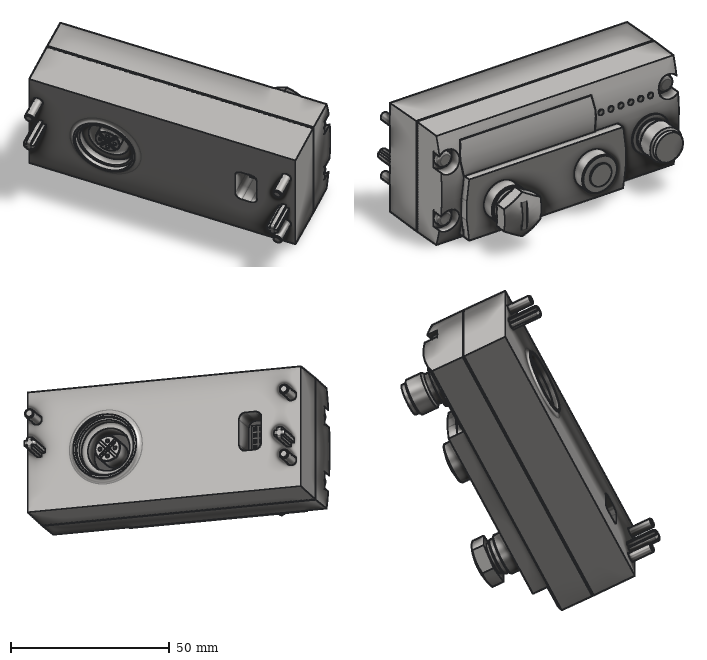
import cadquery as cq
import math


length = 91.0
height = 40.04
draft_angle = 1.0
base_depth = 14.6
joint_gap = 0.5
joint_inset = 0.4
cover_front = base_depth + joint_gap
crown_edge = 25.9
crown_apex = 29.0

screw_x = 42.4
screw_places = [(-screw_x, 10.4), (screw_x, 10.4), (screw_x, -11.0)]
screw_diameter = 3.0
screw_hole_diameter = 3.3
screw_tip = -7.8
screw_tip_chamfer = 0.35
screw_seat = 24.1
screw_head_diameter = 5.6
screw_head_height = 2.3
screw_head_round = 0.9
screw_pocket_diameter = 8.3

key_pins = [(-41.6, 0.0, -1), (41.6, -4.5, 1)]
key_radius = 2.0
key_short_arm = 1.75
key_arm_width = 1.5
key_tip = -10.12
key_tip_round = 1.0
key_root = 1.0

socket_x = -19.5
socket_z = -0.65
lip_front = -1.0
lip_radius = 10.5
lip_blend = 1.65
lip_blend_height = 0.8
lip_bore_radius = 9.8
lip_bore_floor = 0.7
socket_bore_radius = 9.05
socket_bore_floor = 3.2
well_radius = 7.0
well_floor = 10.0
core_radius = 4.15
core_face = 1.85
core_chamfer = 0.15
contact_diameter = 1.1
contact_depth = 4.0
contact_offset = 2.5
core_groove_width = 0.9
core_groove_depth = 0.5

header_x = 28.6
pocket_width = 7.4
pocket_height = 12.6
pocket_corner = 2.2
pocket_floor = 10.0
header_width = 4.1
header_height = 8.3
header_face = 8.0
header_pitch = 2.0
header_columns = 2
header_rows = 4
header_hole = 1.0
header_hole_depth = 1.5

plate_left = -23.0
plate_right = 37.9
plate_top = 4.05
plate_bottom = -18.2
plate_bow = 0.9
plate_end_flat = 7.0
plate_back = 31.85
plate_skirt = 28.8
plate_z = (plate_top + plate_bottom) / 2

label_left = -13.9
label_right = 38.0
label_top = 16.3
label_thickness = 0.35
label_bow = 0.8
label_end_flat = 2.0

stud_count = 6
stud_first_x = -35.0
stud_pitch = 3.8
stud_z = 9.7
stud_diameter = 2.0
stud_face = 28.5

port_diameter = 13.5
port_face = 36.55
port_chamfer = 0.35
open_port_x = -10.0
insert_diameter = 8.0
insert_face = 37.15
capped_port_x = 24.65
threaded_port_x = -34.4
threaded_port_z = -3.7

draft_slope = math.tan(math.radians(draft_angle))
crown_half = height / 2 - (crown_edge - cover_front) * draft_slope
crown_rise = crown_apex - crown_edge
crown_radius = (crown_half**2 + crown_rise**2) / (2 * crown_rise)
crown_centre_y = crown_apex - crown_radius


def rod(x, z, diameter, y_start, y_end):
    """Round bar along Y."""
    start = cq.Vector(x, y_start, z)
    bar = cq.Solid.makeCylinder(diameter / 2, y_end - y_start, start, cq.Vector(0, 1, 0))
    return cq.Workplane(obj=bar)


def turned(x, z, profile):
    """Body of revolution about a Y axis; the profile lists (radius, y) points."""
    outline = cq.Workplane("XY").polyline(profile).close()
    return outline.revolve(360, (0, 0), (0, 1)).translate((x, 0, z))


def block(x_range, y_range, z_range):
    """Box between the given limits."""
    size = [high - low for low, high in (x_range, y_range, z_range)]
    corner = (x_range[0], y_range[0], z_range[0])
    return cq.Workplane("XY").box(*size, centered=False).translate(corner)


def bowed_slab(x_range, z_range, bow, end_flat, y_range):
    """Slab whose two ends bulge to an upright stretch in the middle."""
    left, right = x_range
    bottom, top = z_range
    middle = (bottom + top) / 2
    flat_low = middle - end_flat / 2
    flat_high = middle + end_flat / 2
    outline = [
        (left + bow, bottom), (right - bow, bottom), (right, flat_low), (right, flat_high),
        (right - bow, top), (left + bow, top), (left, flat_high), (left, flat_low),
    ]
    flat = cq.Workplane("XZ", origin=(0, y_range[0], 0)).polyline(outline).close()
    return flat.extrude(y_range[0] - y_range[1])


def base_shell():
    front_half = height / 2 - base_depth * draft_slope
    profile = [(0, -front_half), (base_depth, -height / 2), (base_depth, height / 2), (0, front_half)]
    return cq.Workplane("YZ", origin=(-length / 2, 0, 0)).polyline(profile).close().extrude(length)


def key_pin(x, z, short_side):
    """Round-tipped pin cut to a cross, with one arm shortened."""
    round_bar = rod(x, z, 2 * key_radius, key_tip, key_root).faces("<Y").edges().fillet(key_tip_round)
    half_arm = key_arm_width / 2
    beyond = 2 * key_radius
    y_range = (key_tip - beyond, key_root + beyond)
    reach = sorted((x + short_side * key_short_arm, x - short_side * beyond))
    flat_arm = block(reach, y_range, (z - half_arm, z + half_arm))
    upright_arm = block((x - half_arm, x + half_arm), y_range, (z - beyond, z + beyond))
    return round_bar.intersect(flat_arm.union(upright_arm))


def socket_lip():
    """Raised rim with a concave blend down to the front face."""
    blend_outer = lip_radius + lip_blend
    flat_outer = blend_outer + lip_blend
    profile = (
        cq.Workplane("XY")
        .moveTo(0, socket_bore_floor)
        .lineTo(flat_outer, socket_bore_floor)
        .lineTo(flat_outer, 0)
        .lineTo(blend_outer, 0)
        .tangentArcPoint((lip_radius, -lip_blend_height), relative=False)
        .lineTo(lip_radius, lip_front)
        .lineTo(0, lip_front)
        .close()
    )
    return profile.revolve(360, (0, 0), (0, 1)).translate((socket_x, 0, socket_z))


def socket_cavity():
    """Stepped bore that leaves the contact core standing in the well."""
    return turned(socket_x, socket_z, [
        (0, lip_front), (lip_bore_radius, lip_front),
        (lip_bore_radius, lip_bore_floor), (socket_bore_radius, lip_bore_floor),
        (socket_bore_radius, socket_bore_floor), (well_radius, socket_bore_floor),
        (well_radius, well_floor), (core_radius, well_floor),
        (core_radius, core_face + core_chamfer), (core_radius - core_chamfer, core_face),
        (0, core_face),
    ])


def core_details():
    """Five contact holes and the diagonal grooves between them."""
    groove_floor = core_face + core_groove_depth
    reach = core_radius
    groove = block((-reach, reach), (core_face, groove_floor), (-core_groove_width / 2, core_groove_width / 2))
    cuts = cq.Workplane("XY")
    for angle in (45, 135):
        turned_groove = groove.rotate((0, 0, 0), (0, 1, 0), angle)
        cuts = cuts.union(turned_groove.translate((socket_x, 0, socket_z)))
    for dx, dz in ((0, 0), (1, 0), (-1, 0), (0, 1), (0, -1)):
        x = socket_x + dx * contact_offset
        z = socket_z + dz * contact_offset
        cuts = cuts.union(rod(x, z, contact_diameter, core_face, core_face + contact_depth))
    return cuts


def header_pocket():
    x_range = (header_x - pocket_width / 2, header_x + pocket_width / 2)
    pocket = block(x_range, (0, pocket_floor), (-pocket_height / 2, pocket_height / 2))
    return pocket.edges("|Y").fillet(pocket_corner)


def header():
    """Socket strip with a grid of square holes."""
    x_range = (header_x - header_width / 2, header_x + header_width / 2)
    strip = block(x_range, (header_face, pocket_floor), (-header_height / 2, header_height / 2))
    half_hole = header_hole / 2
    for column in range(header_columns):
        for row in range(header_rows):
            x = header_x + (column - (header_columns - 1) / 2) * header_pitch
            z = (row - (header_rows - 1) / 2) * header_pitch
            hole = block(
                (x - half_hole, x + half_hole),
                (header_face, header_face + header_hole_depth),
                (z - half_hole, z + half_hole),
            )
            strip = strip.cut(hole)
    return strip


def make_base():
    body = base_shell().union(socket_lip())
    body = body.cut(socket_cavity()).cut(core_details())
    body = body.cut(header_pocket()).union(header())
    for x, z, short_side in key_pins:
        body = body.union(key_pin(x, z, short_side))
    for x, z in screw_places:
        body = body.cut(rod(x, z, screw_hole_diameter, 0, base_depth))
    return body


def cover_shell():
    """Crowned block with the inset neck that rests on the base."""
    profile = (
        cq.Workplane("YZ", origin=(-length / 2, 0, 0))
        .moveTo(cover_front, -height / 2)
        .lineTo(crown_edge, -crown_half)
        .threePointArc((crown_apex, 0), (crown_edge, crown_half))
        .lineTo(cover_front, height / 2)
        .close()
    )
    half_x = length / 2 - joint_inset
    half_z = height / 2 - joint_inset
    neck = block((-half_x, half_x), (base_depth, cover_front), (-half_z, half_z))
    return profile.extrude(length).union(neck)


def raised_plate():
    x_range = (plate_left, plate_right)
    z_range = (plate_bottom, plate_top)
    plate = bowed_slab(x_range, z_range, plate_bow, plate_end_flat, (plate_skirt, plate_back))
    skirt_x = (plate_left + plate_bow, plate_right - plate_bow)
    return plate.union(block(skirt_x, (cover_front, plate_skirt), z_range))


def label():
    """Thin raised panel that follows the crown."""
    panel = bowed_slab(
        (label_left, label_right), (plate_top, label_top), label_bow, label_end_flat,
        (crown_edge, plate_back),
    )
    curved = cq.Workplane("YZ", origin=(-length / 2, 0, 0)).center(crown_centre_y, 0)
    return panel.intersect(curved.circle(crown_radius + label_thickness).extrude(length))


def port(x):
    radius = port_diameter / 2
    return turned(x, plate_z, [
        (0, plate_skirt), (radius, plate_skirt), (radius, port_face - port_chamfer),
        (radius - port_chamfer, port_face), (0, port_face),
    ])


def blanking_cap():
    """Hexagonal domed cap with a driver slot, closing the right port."""
    neck_radius = 5.25
    collar_radius = 6.0
    collar_shoulder = 38.0
    collar_end = 38.55
    head_start = 39.5
    across_flats = 14.0
    dome_apex = 45.145
    dome_radius = 20.0
    slot_width = 2.0
    slot_floor = 44.5

    collar = turned(capped_port_x, plate_z, [
        (0, port_face), (collar_radius, port_face), (collar_radius, collar_shoulder),
        (neck_radius, collar_end), (neck_radius, head_start), (0, head_start),
    ])
    across_corners = across_flats / math.cos(math.pi / 6)
    head = (
        cq.Workplane("XZ", origin=(capped_port_x, head_start, plate_z))
        .polygon(6, across_corners)
        .extrude(head_start - dome_apex)
        .rotate((capped_port_x, 0, plate_z), (capped_port_x, 1, plate_z), 90)
    )
    dome_edge = 0.75 * across_flats
    dome_start = dome_apex - dome_radius + math.sqrt(dome_radius**2 - dome_edge**2)
    arc_middle = dome_edge / 2
    arc_middle_y = dome_apex - dome_radius + math.sqrt(dome_radius**2 - arc_middle**2)
    dome = (
        cq.Workplane("XY")
        .moveTo(0, head_start)
        .lineTo(dome_edge, head_start)
        .lineTo(dome_edge, dome_start)
        .threePointArc((arc_middle, arc_middle_y), (0, dome_apex))
        .close()
        .revolve(360, (0, 0), (0, 1))
    )
    head = head.intersect(dome.translate((capped_port_x, 0, plate_z)))
    slot = block(
        (capped_port_x - slot_width / 2, capped_port_x + slot_width / 2),
        (slot_floor, dome_apex),
        (plate_z - across_corners / 2, plate_z + across_corners / 2),
    )
    return collar.union(head.cut(slot))


def threaded_port():
    """Flanged connector with a wider threaded sleeve."""
    flange_radius = 7.0
    flange_face = 29.5
    neck_radius = 5.25
    neck_foot = 0.3
    sleeve_radius = 6.1
    return turned(threaded_port_x, threaded_port_z, [
        (0, cover_front), (flange_radius, cover_front), (flange_radius, flange_face),
        (neck_radius + neck_foot, flange_face), (neck_radius, flange_face + neck_foot),
        (neck_radius, 31.6), (sleeve_radius, 32.4), (sleeve_radius, 37.75),
        (neck_radius, 38.3), (neck_radius, 39.75), (0, 39.75),
    ])


def make_cover():
    body = cover_shell().union(raised_plate()).union(label())
    for index in range(stud_count):
        x = stud_first_x + index * stud_pitch
        body = body.union(rod(x, stud_z, stud_diameter, cover_front, stud_face))
    body = body.union(port(open_port_x)).union(port(capped_port_x))
    body = body.union(rod(open_port_x, plate_z, insert_diameter, plate_skirt, insert_face))
    body = body.union(blanking_cap()).union(threaded_port())
    for x, z in screw_places:
        body = body.cut(rod(x, z, screw_hole_diameter, base_depth, screw_seat))
        body = body.cut(rod(x, z, screw_pocket_diameter, screw_seat, plate_back))
    return body


def make_screw(x, z):
    shank = rod(x, z, screw_diameter, screw_tip, screw_seat)
    shank = shank.faces("<Y").chamfer(screw_tip_chamfer)
    head = rod(x, z, screw_head_diameter, screw_seat, screw_seat + screw_head_height)
    return shank.union(head.faces(">Y").edges().fillet(screw_head_round))


base = make_base()
cover = make_cover()
screws = [make_screw(x, z) for x, z in screw_places]

result = cq.Compound.makeCompound([base.val(), cover.val(), *[screw.val() for screw in screws]])